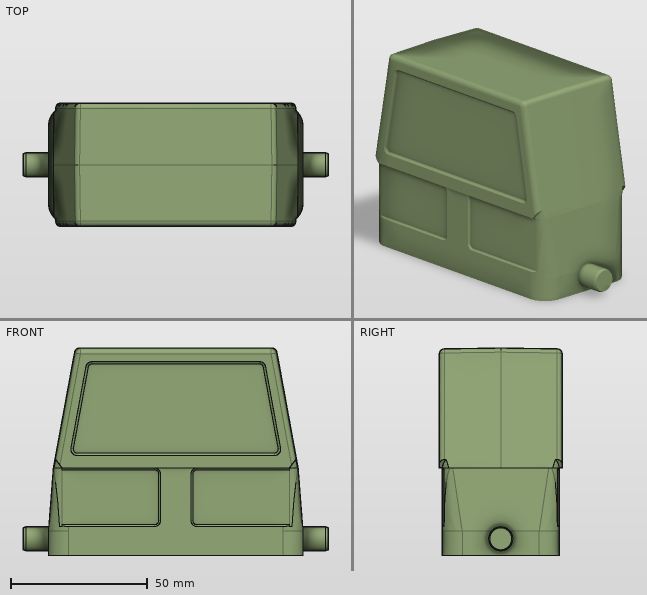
import cadquery as cq

BODY_HALF_LENGTH = 46.6
BODY_HALF_WIDTH = 21.5
SKIRT_HEIGHT = 8.9
SKIRT_CORNER_RADIUS = 7.4
NECK_HALF_LENGTH = 44.8
NECK_CORNER_RADIUS = 3.9

HOOD_BOTTOM = 32.1
HOOD_TOP = 76.0
HOOD_HALF_WIDTH = 22.51
HOOD_BOTTOM_HALF_LENGTH = 44.8
HOOD_TOP_HALF_LENGTH = 36.7
HOOD_CROWN = 0.3
HOOD_EDGE_RADIUS = 1.9
HOOD_LEAN = (HOOD_BOTTOM_HALF_LENGTH - HOOD_TOP_HALF_LENGTH) / (HOOD_TOP - HOOD_BOTTOM)

CORNER_RELIEF_START = 41.5
CORNER_RELIEF_LENGTH = 4.5
CORNER_RELIEF_HEIGHT = 5.8

HOOD_PANEL_DEPTH = 0.9
PANEL_WALL_TAPER = 45
PANEL_CORNER_RADIUS = 2.2
HOOD_PANEL_BOTTOM = 36.6
HOOD_PANEL_TOP = 70.9
HOOD_PANEL_SIDE_MARGIN = 5.1
GRIP_BOTTOM = 10.6
GRIP_INNER_X = 5.6
GRIP_FLOOR_END = 41.7
GRIP_CORNER_WIDTH = 3.1
GRIP_DEPTH = 0.7

PIN_DIAMETER = 8.8
PIN_TIP_DIAMETER = 8.0
PIN_TIP_LENGTH = 1.0
PIN_HEIGHT = 6.1
PIN_HALF_SPAN = 55.8
PIN_EMBED = 3.4


def rounded_rectangle(half_length, half_width, radius):
    return cq.Sketch().rect(2 * half_length, 2 * half_width).vertices().fillet(radius)


def both_sides(shape):
    """A shape on the -Y side together with its mirror image on the +Y side."""
    return shape.union(shape.mirror("XZ"))


def make_tapered_block(half_width, skirt_radius, neck_radius, top):
    """Block with leaning end faces and corner radii that shrink steadily up to the given height."""
    rise = (top - SKIRT_HEIGHT) / (HOOD_BOTTOM - SKIRT_HEIGHT)
    top_half_length = BODY_HALF_LENGTH + rise * (NECK_HALF_LENGTH - BODY_HALF_LENGTH)
    top_radius = skirt_radius + rise * (neck_radius - skirt_radius)
    lower_outline = rounded_rectangle(BODY_HALF_LENGTH, half_width, skirt_radius)
    upper_outline = rounded_rectangle(top_half_length, half_width, top_radius)
    upper_place = cq.Location(cq.Vector(0, 0, top - SKIRT_HEIGHT))
    skirt = cq.Workplane("XY").placeSketch(lower_outline).extrude(SKIRT_HEIGHT)
    neck = (
        cq.Workplane("XY", origin=(0, 0, SKIRT_HEIGHT))
        .placeSketch(lower_outline, upper_outline.moved(upper_place))
        .loft(ruled=True)
    )
    return skirt.union(neck)


def make_body(top):
    return make_tapered_block(BODY_HALF_WIDTH, SKIRT_CORNER_RADIUS, NECK_CORNER_RADIUS, top)


def hood_outline(plane, inset):
    """Trapezoid with its top and leaning sides drawn in by the inset."""
    bottom = HOOD_BOTTOM_HALF_LENGTH - inset
    top = HOOD_TOP_HALF_LENGTH - inset
    top_z = HOOD_TOP - inset
    corners = [(-bottom, HOOD_BOTTOM), (bottom, HOOD_BOTTOM), (top, top_z), (-top, top_z)]
    return plane.polyline(corners).close()


def make_hood():
    """One half is drawn from the middle plane to the -Y face, rounded, then mirrored."""
    middle_outline = hood_outline(cq.Workplane("XZ"), 0)
    face_plane = middle_outline.workplane(offset=HOOD_HALF_WIDTH)
    half = hood_outline(face_plane, HOOD_CROWN).loft(ruled=True)
    top_edges = half.faces(">Z").edges("not >Y")
    leaning_edges = half.faces("<Y").edges("<X or >X")
    return both_sides(top_edges.add(leaning_edges).fillet(HOOD_EDGE_RADIUS))


def make_corner_reliefs(body):
    """Wedges that lift the hood's lower corners clear of the body corners."""
    wedge_corners = [
        (CORNER_RELIEF_START, HOOD_BOTTOM),
        (CORNER_RELIEF_START + CORNER_RELIEF_LENGTH, HOOD_BOTTOM),
        (CORNER_RELIEF_START + CORNER_RELIEF_LENGTH, HOOD_BOTTOM + CORNER_RELIEF_HEIGHT),
    ]
    wedge = cq.Workplane("XZ").polyline(wedge_corners).close().extrude(HOOD_HALF_WIDTH, both=True)
    return wedge.union(wedge.mirror("YZ")).cut(body)


def make_hood_panel():
    """Trapezoidal recess parallel to the hood's outline."""
    side_x = HOOD_BOTTOM_HALF_LENGTH - HOOD_PANEL_SIDE_MARGIN
    bottom = side_x - HOOD_LEAN * (HOOD_PANEL_BOTTOM - HOOD_BOTTOM)
    top = side_x - HOOD_LEAN * (HOOD_PANEL_TOP - HOOD_BOTTOM)
    outline = cq.Sketch().polygon([
        (-bottom, HOOD_PANEL_BOTTOM),
        (bottom, HOOD_PANEL_BOTTOM),
        (top, HOOD_PANEL_TOP),
        (-top, HOOD_PANEL_TOP),
        (-bottom, HOOD_PANEL_BOTTOM),
    ]).vertices().fillet(PANEL_CORNER_RADIUS)
    front = cq.Workplane("XZ", origin=(0, -HOOD_HALF_WIDTH, 0))
    return both_sides(front.placeSketch(outline).extrude(-HOOD_PANEL_DEPTH, taper=PANEL_WALL_TAPER))


def make_grip_recesses():
    """Recesses below the hood that run outward around the body corners."""
    height = HOOD_BOTTOM - GRIP_BOTTOM
    length = GRIP_FLOOR_END - GRIP_INNER_X
    outline = cq.Sketch().rect(2 * length, height).vertices().fillet(PANEL_CORNER_RADIUS)
    floor_end = (GRIP_FLOOR_END, -BODY_HALF_WIDTH, GRIP_BOTTOM + height / 2)
    panel = (
        cq.Workplane("XZ", origin=floor_end)
        .placeSketch(outline)
        .extrude(-GRIP_DEPTH, taper=PANEL_WALL_TAPER)
        .intersect(cq.Workplane("XY").box(2 * GRIP_FLOOR_END, 2 * BODY_HALF_WIDTH, 2 * HOOD_BOTTOM))
    )

    core = make_tapered_block(
        BODY_HALF_WIDTH - GRIP_DEPTH,
        BODY_HALF_LENGTH - GRIP_FLOOR_END,
        NECK_HALF_LENGTH - GRIP_FLOOR_END,
        HOOD_BOTTOM,
    )
    corner_length = BODY_HALF_LENGTH - GRIP_FLOOR_END
    corner = (
        cq.Workplane("XY", origin=(0, 0, GRIP_BOTTOM))
        .center(GRIP_FLOOR_END + corner_length / 2, GRIP_CORNER_WIDTH / 2 - BODY_HALF_WIDTH)
        .rect(corner_length, GRIP_CORNER_WIDTH)
        .extrude(height)
        .cut(core)
    )
    recess = panel.union(corner)
    return both_sides(recess.union(recess.mirror("YZ")))


def make_pin():
    """Pin on the +X end with a slightly tapered tip."""
    shoulder = PIN_HALF_SPAN - PIN_TIP_LENGTH
    profile = [
        (BODY_HALF_LENGTH - PIN_EMBED, 0),
        (BODY_HALF_LENGTH - PIN_EMBED, PIN_DIAMETER / 2),
        (shoulder, PIN_DIAMETER / 2),
        (PIN_HALF_SPAN, PIN_TIP_DIAMETER / 2),
        (PIN_HALF_SPAN, 0),
    ]
    pin = cq.Workplane("XZ", origin=(0, 0, PIN_HEIGHT)).polyline(profile).close()
    return pin.revolve(axisStart=(0, 0, 0), axisEnd=(1, 0, 0))


body = make_body(HOOD_BOTTOM).cut(make_grip_recesses())
relief_core = make_body(HOOD_BOTTOM + CORNER_RELIEF_HEIGHT)
hood = make_hood().cut(make_corner_reliefs(relief_core)).cut(make_hood_panel())
pin = make_pin()
result = body.union(hood).union(pin).union(pin.mirror("YZ"))